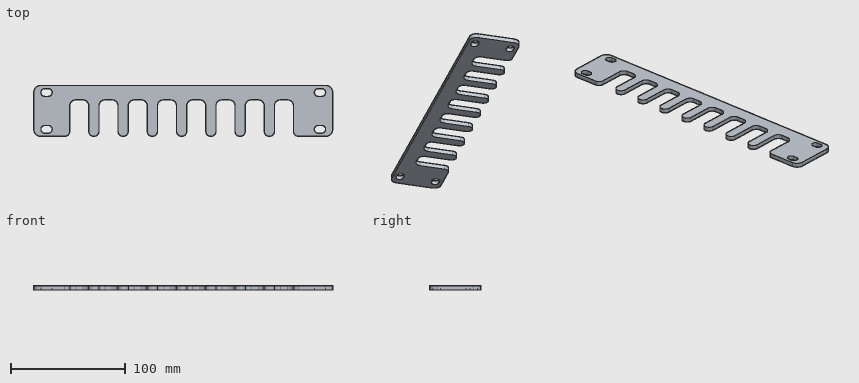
import cadquery as cq

length = 260.4
width = 44.5
thickness = 4.0
plate_corner_radius = 6.2

notch_count = 8
finger_width = 9.0
comb_length = 194.5
comb_left_margin = 31.5
spine_width = 12.8
notch_corner_radius = 5.0
mouth_radius = finger_width / 2

notch_width = (comb_length - (notch_count - 1) * finger_width) / notch_count
notch_pitch = notch_width + finger_width
notch_depth = width - spine_width

slot_length = 9.6
slot_width = 6.5
slot_spacing_x = 238.0
slot_spacing_y = 32.0

front_edge = -width / 2
comb_left = -length / 2 + comb_left_margin


def make_plate():
    plate = cq.Workplane("XY").box(length, width, thickness)
    return plate.edges("|Z").fillet(plate_corner_radius)


def make_notch(left):
    """Notch cutter with rounded inner corners and a mouth flaring onto the front edge."""
    right = left + notch_width
    inner = front_edge + notch_depth
    mouth_top = front_edge + mouth_radius
    inner_start = inner - notch_corner_radius
    return (
        cq.Workplane("XY")
        .workplane(offset=-thickness / 2)
        .moveTo(left - mouth_radius, front_edge)
        .radiusArc((left, mouth_top), -mouth_radius)
        .lineTo(left, inner_start)
        .radiusArc((left + notch_corner_radius, inner), notch_corner_radius)
        .lineTo(right - notch_corner_radius, inner)
        .radiusArc((right, inner_start), notch_corner_radius)
        .lineTo(right, mouth_top)
        .radiusArc((right + mouth_radius, front_edge), -mouth_radius)
        .close()
        .extrude(thickness)
    )


def cut_mounting_slots(plate):
    return (
        plate.faces(">Z")
        .workplane(origin=(0, 0, 0))
        .rarray(slot_spacing_x, slot_spacing_y, 2, 2)
        .slot2D(slot_length, slot_width)
        .cutThruAll()
    )


result = cut_mounting_slots(make_plate())
for index in range(notch_count):
    result = result.cut(make_notch(comb_left + index * notch_pitch))